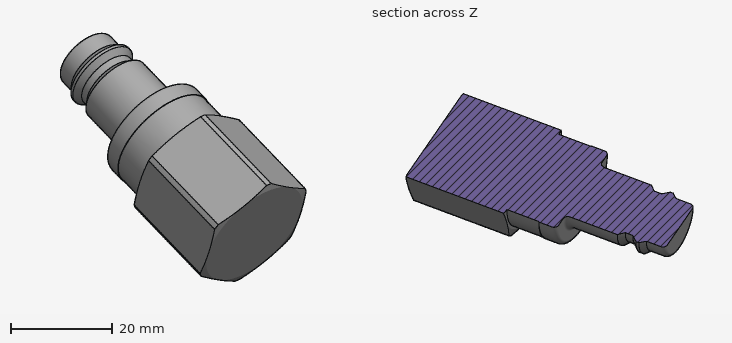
import cadquery as cq
import math

crest_foot_x = 4.15
crest_start_x = 5.3
crest_end_x = 5.95
groove_start_x = 7.25
groove_end_x = 8.9
collar_face_x = 21.5
collar_end_x = 25.4
hex_start_x = 32.5
total_length = 54.4

tip_diameter = 13.0
crest_diameter = 15.0
groove_diameter = 12.65
stem_diameter = 15.0
collar_diameter = 23.0
neck_diameter = 22.75

edge_radius = 1.0

across_flats = 24.0
corner_diameter = 27.04
first_corner_angle = 13.0
chamfer_angle = 15.0
chamfer_start_radius = across_flats / 2


def make_plug():
    """Turned plug: tip, locking crest, groove, stem, collar and neck."""
    tip_r = tip_diameter / 2
    crest_r = crest_diameter / 2
    groove_r = groove_diameter / 2
    stem_r = stem_diameter / 2
    collar_r = collar_diameter / 2
    neck_r = neck_diameter / 2
    stem_start_x = groove_end_x + stem_r - groove_r

    return (
        cq.Workplane("XY")
        .lineTo(0, tip_r - edge_radius)
        .radiusArc((edge_radius, tip_r), edge_radius)
        .lineTo(crest_foot_x, tip_r)
        .lineTo(crest_start_x, crest_r)
        .lineTo(crest_end_x, crest_r)
        .lineTo(groove_start_x, groove_r)
        .lineTo(groove_end_x, groove_r)
        .lineTo(stem_start_x, stem_r)
        .lineTo(collar_face_x - edge_radius, stem_r)
        .radiusArc((collar_face_x, stem_r + edge_radius), -edge_radius)
        .lineTo(collar_face_x, collar_r - edge_radius)
        .radiusArc((collar_face_x + edge_radius, collar_r), edge_radius)
        .lineTo(collar_end_x, collar_r)
        .lineTo(collar_end_x, neck_r)
        .lineTo(hex_start_x, neck_r)
        .lineTo(hex_start_x, 0)
        .close()
        .revolve(360, (0, 0, 0), (1, 0, 0))
    )


def make_hexagon():
    """Hexagonal body with blunted corners and a conical chamfer at both ends."""
    across_corners = across_flats / math.cos(math.radians(30))
    prism = (
        cq.Workplane("YZ", origin=(hex_start_x, 0, 0))
        .transformed(rotate=(0, 0, first_corner_angle))
        .polygon(6, across_corners)
        .extrude(total_length - hex_start_x)
    )
    corner_r = corner_diameter / 2
    chamfer_length = (corner_r - chamfer_start_radius) * math.tan(math.radians(chamfer_angle))
    envelope = (
        cq.Workplane("XY")
        .moveTo(hex_start_x, 0)
        .lineTo(hex_start_x, chamfer_start_radius)
        .lineTo(hex_start_x + chamfer_length, corner_r)
        .lineTo(total_length - chamfer_length, corner_r)
        .lineTo(total_length, chamfer_start_radius)
        .lineTo(total_length, 0)
        .close()
        .revolve(360, (0, 0, 0), (1, 0, 0))
    )
    return prism.intersect(envelope)


result = make_plug().union(make_hexagon())